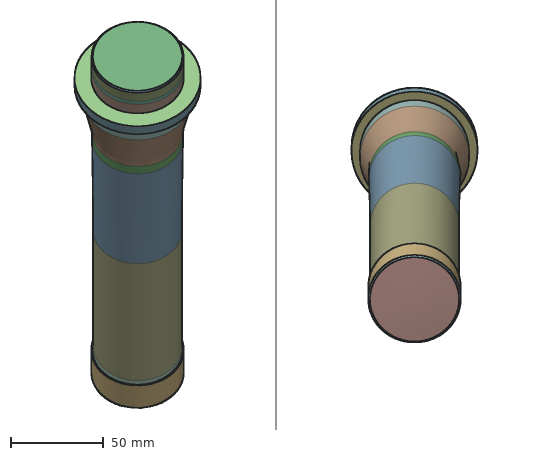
import cadquery as cq

total_height = 269.0
edge_chamfer = 0.8

flange_diameter = 68.0
head_diameter = 50.0
head_neck_diameter = 49.8
flange_bottom = 244.2
flange_top = 251.0
head_taper_bottom = 258.8
head_taper_top = 261.2

collar_diameter = 59.0
collar_bottom = 234.0
neck_diameter = 49.2
flare_bottom_diameter = 50.3
flare_bottom = 210.5
neck_top = 205.8
neck_bottom = 199.5
grip_diameter = 48.1
grip_curve_bottom = 123.0
cap_taper_top = 24.2
cap_taper_diameter = 48.7
cap_top = 21.0
cap_diameter = 50.0
dome_height = 1.0
cap_rim_fillet = 1.0


def make_plug():
    """Flange and head revolved as one solid."""
    profile = (
        cq.Workplane("XZ")
        .moveTo(0, flange_bottom)
        .lineTo(flange_diameter / 2, flange_bottom)
        .lineTo(flange_diameter / 2, flange_top)
        .lineTo(head_diameter / 2, flange_top)
        .lineTo(head_diameter / 2, head_taper_bottom)
        .lineTo(head_neck_diameter / 2, head_taper_top)
        .lineTo(head_neck_diameter / 2, total_height - edge_chamfer)
        .lineTo(head_neck_diameter / 2 - edge_chamfer, total_height)
        .lineTo(0, total_height)
        .close()
    )
    return profile.revolve(360, (0, 0, 0), (0, 1, 0))


def make_handle():
    """Collar, flare, grip and end cap revolved as one solid."""
    flare_direction = (flare_bottom_diameter / 2 - collar_diameter / 2, flare_bottom - collar_bottom)
    curve_drop = (neck_diameter - grip_diameter) / 2
    curve_height = neck_bottom - grip_curve_bottom
    grip_curve_radius = (curve_drop**2 + curve_height**2) / (2 * curve_drop)
    dome_radius = ((cap_diameter / 2) ** 2 + dome_height**2) / (2 * dome_height)
    profile = (
        cq.Workplane("XZ")
        .moveTo(0, flange_bottom)
        .lineTo(collar_diameter / 2 - edge_chamfer, flange_bottom)
        .lineTo(collar_diameter / 2, flange_bottom - edge_chamfer)
        .lineTo(collar_diameter / 2, collar_bottom)
        .spline(
            [(flare_bottom_diameter / 2, flare_bottom), (neck_diameter / 2, neck_top)],
            tangents=[flare_direction, (0, -1)],
            includeCurrent=True,
        )
        .lineTo(neck_diameter / 2, neck_bottom)
        .radiusArc((grip_diameter / 2, grip_curve_bottom), -grip_curve_radius)
        .lineTo(grip_diameter / 2, cap_taper_top)
        .lineTo(cap_taper_diameter / 2, cap_top)
        .lineTo(cap_diameter / 2, cap_top)
        .lineTo(cap_diameter / 2, dome_height)
        .radiusArc((0, 0), dome_radius)
        .close()
    )
    handle_body = profile.revolve(360, (0, 0, 0), (0, 1, 0))
    rim_select_box = cq.selectors.BoxSelector(
        (-cap_diameter, -cap_diameter, dome_height / 2),
        (cap_diameter, cap_diameter, dome_height * 2),
    )
    return handle_body.edges("%CIRCLE").edges(rim_select_box).fillet(cap_rim_fillet)


plug = make_plug()
handle = make_handle()

result = cq.Compound.makeCompound([plug.val(), handle.val()])